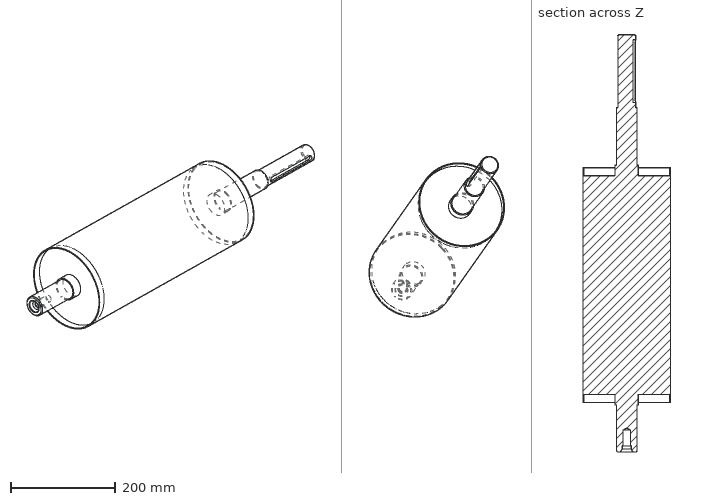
import cadquery as cq
import math

total_length = 800.0
plain_end_y = -total_length / 2
drive_end_y = total_length / 2

drum_diameter = 168.3
drum_wall = 2.0
drum_bore_diameter = drum_diameter - 2 * drum_wall
drum_length = 450.0
plain_journal_length = 95.0
end_recess_depth = 15.0
drum_start_y = plain_end_y + plain_journal_length
drum_end_y = drum_start_y + drum_length

hub_diameter = 45.0
hub_protrusion = 5.0
journal_diameter = 40.0
drive_diameter = 35.0
drive_length = 140.0
drive_start_y = drive_end_y - drive_length
end_chamfer = 2.0

key_width = 10.0
key_depth = 5.0
key_length = 120.0
key_middle_y = drive_end_y - drive_length / 2

core_diameter = 13.84
core_depth = 42.0
drill_point_angle = 118.0
relief_diameter = 17.0
relief_depth = 12.0
centring_diameter = 23.0
centring_angle = 60.0
protective_diameter = 25.3
protective_angle = 120.0


def cylinder_y(diameter, start_y, end_y):
    """Solid cylinder on the Y axis between two stations."""
    disc = cq.Workplane("XZ", origin=(0, start_y, 0)).circle(diameter / 2)
    return disc.extrude(start_y - end_y)


def make_drum():
    """Drum with a shallow recess inside the rim at each end."""
    drum = cylinder_y(drum_diameter, drum_start_y, drum_end_y)
    drum = drum.cut(cylinder_y(drum_bore_diameter, drum_start_y, drum_start_y + end_recess_depth))
    return drum.cut(cylinder_y(drum_bore_diameter, drum_end_y - end_recess_depth, drum_end_y))


def make_shaft():
    """Stepped shaft: journal right through, thicker hub in the drum, thinner drive end."""
    journal = cylinder_y(journal_diameter, plain_end_y, drive_start_y).faces("<Y").chamfer(end_chamfer)
    drive = cylinder_y(drive_diameter, drive_start_y, drive_end_y).faces(">Y").chamfer(end_chamfer)
    hub = cylinder_y(hub_diameter, drum_start_y - hub_protrusion, drum_end_y + hub_protrusion)
    return journal.union(drive).union(hub)


def make_keyway():
    """Round-ended key slot, open towards +X."""
    floor_x = drive_diameter / 2 - key_depth
    slot = cq.Workplane("YZ", origin=(floor_x, key_middle_y, 0)).slot2D(key_length, key_width)
    return slot.extrude(2 * key_depth)


def cone_depth(wide_diameter, narrow_diameter, included_angle):
    """Axial length of a cone between two diameters."""
    return (wide_diameter - narrow_diameter) / 2 / math.tan(math.radians(included_angle / 2))


def make_centre_hole():
    """Blind centre hole along +Y: protective cone, centring cone, thread relief, core, drill point."""
    protective_depth = cone_depth(protective_diameter, centring_diameter, protective_angle)
    centring_depth = protective_depth + cone_depth(centring_diameter, relief_diameter, centring_angle)
    tip_depth = core_depth + cone_depth(core_diameter, 0, drill_point_angle)
    profile = (
        cq.Workplane("XY", origin=(0, plain_end_y, 0))
        .lineTo(protective_diameter / 2, 0)
        .lineTo(centring_diameter / 2, protective_depth)
        .lineTo(relief_diameter / 2, centring_depth)
        .lineTo(relief_diameter / 2, relief_depth)
        .lineTo(core_diameter / 2, relief_depth)
        .lineTo(core_diameter / 2, core_depth)
        .lineTo(0, tip_depth)
        .close()
    )
    return profile.revolve(360, (0, 0, 0), (0, 1, 0))


result = make_drum().union(make_shaft()).cut(make_keyway()).cut(make_centre_hole())